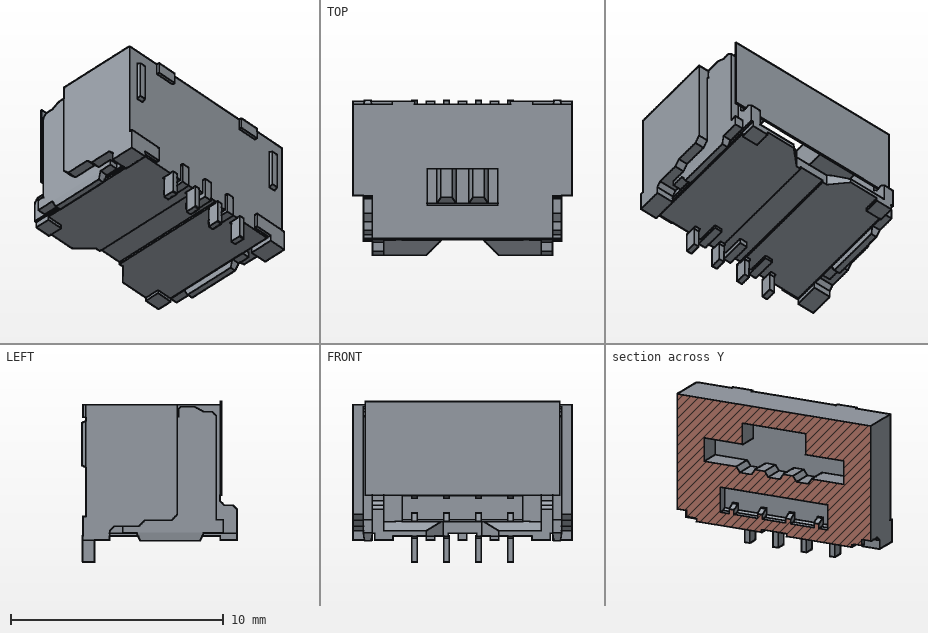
import cadquery as cq


half_width = 5.15
core_half_width = 4.23
shoulder_y = 2.01
rear_y = 6.3
top_z = 6.37
floor_underside_z = 0.32
sole_underside_z = 0.19

wall_low_z = 0.65
wall_step_y = 3.82
wall_step_bevel = 0.28
rear_foot_bevel = 0.22

ledge_y = 6.45
ledge_top_z = 1.11
ledge_inner_x = 3.31
rear_foot_front_y = 5.19
rear_pad_inner_x = 2.25
rear_pad_bottom_z = 5.77
sole_inner_x = 0.66
sole_outer_x = 4.13
front_foot_inner_x = 3.27

lip_y = -0.8
arm_top_z = 1.65
arm_bevel = 0.2
mouth_half_width = 3.7
lip_ramp_start_y = -0.09
lip_ramp_low_z = 0.43
notch_half_width = 0.91

mouth_floor_z = 0.87
mouth_ceiling_z = 4.39
mouth_back_y = 1.65
recess_half_width = 2.84
recess_back_y = 4.74
recess_ceiling_z = 2.08
recess_ramp_rise = 0.09
recess_ramp_run = 0.14
ridge_outer_x = 3.16
ridge_height = 0.03

cavity_back_y = 5.4
cavity_floor_z = 2.99
land_width = 0.9
land_height = 0.27
land_side_run = 0.19
land_front_run = 0.28

channel_half_width = 1.67
channel_roof_z = 5.43
window_front_y = 1.55
window_front_bottom_y = 1.64
window_back_y = 3.27

contact_pitch = 1.5
contact_count = 4
contact_width = 0.28
leg_front_y = 5.9
leg_rear_y = 6.48
leg_tip_z = -1.03
leg_top_z = 0.22
leg_tip_chamfer = 0.03
leg_bend_chamfer = 0.09
lower_arm_length = 0.82
lower_arm_nose_z = 0.9
lower_arm_top_z = 1.29
lower_arm_edge = 0.03
lower_arm_land = 0.07
upper_arm_drop = 0.12
divider_width = 0.4

tab_outer_x = 4.67
tab_front_y = 0.18
tab_rear_y = 4.58
tab_bottom_z = 0.35
tab_toe_y = -0.14
tab_toe_top_z = 0.97
tab_head_y = 1.94
tab_head_bottom_z = 5.79
tab_top_z = 6.26
tab_top_bevel = 0.08
tab_top_front_y = 1.18
tab_nose_z = 6.05
tab_nose_rear_y = 0.78
tab_nose_bevel = 0.21
tab_foot_bottom_z = -0.03
tab_foot_front_y = 0.76
tab_foot_rear_y = 3.93
tab_foot_side_run = 0.06
tab_foot_end_run = 0.18
barb_inner_x = 4.27
barb_outer_x = 4.64
barb_bottom_z = 3.42
barb_top_z = 5.6
barb_tip_y = 6.5
barb_side_run = 0.02
barb_end_run = 0.08

sheet_half_width = 4.57
sheet_thickness = 0.07
sheet_bottom_z = 2.11
sheet_top_z = 6.52

contact_xs = [(i - (contact_count - 1) / 2) * contact_pitch for i in range(contact_count)]


def block(x0, x1, y0, y1, z0, z1):
    """Box between two opposite corners."""
    return cq.Workplane("XY").box(x1 - x0, y1 - y0, z1 - z0, centered=False).translate((x0, y0, z0))


def slice_x(points, x0, x1):
    """Outline of (y, z) points extruded from x0 to x1."""
    return cq.Workplane("YZ").polyline(points).close().extrude(x1 - x0).translate((x0, 0, 0))


def both_sides(shape):
    """The shape together with its mirror image across X = 0."""
    return shape.union(shape.mirror("YZ"))


def tapered(plane, first, second, start, end):
    """Loft between two rectangles (u0, u1, v0, v1) lying at offsets start and end of a plane."""
    wires = []
    for (u0, u1, v0, v1), offset in ((first, start), (second, end)):
        corners = [(u0, v0), (u1, v0), (u1, v1), (u0, v1)]
        wires.append(cq.Workplane(plane).workplane(offset=offset).polyline(corners).close().val())
    return cq.Workplane(cq.Solid.makeLoft(wires, True))


def inset(rectangle, u_run, v_run):
    """The rectangle (u0, u1, v0, v1) shrunk by u_run and v_run on each side."""
    u0, u1, v0, v1 = rectangle
    return (u0 + u_run, u1 - u_run, v0 + v_run, v1 - v_run)


def side_walls():
    wall_high_z = wall_low_z + wall_step_bevel
    outline = [
        (shoulder_y, top_z),
        (rear_y, top_z),
        (rear_y, ledge_top_z),
        (ledge_y, ledge_top_z),
        (ledge_y, 0),
        (rear_foot_front_y, 0),
        (rear_foot_front_y, wall_low_z - rear_foot_bevel),
        (rear_foot_front_y - rear_foot_bevel, wall_low_z),
        (wall_step_y, wall_low_z),
        (wall_step_y - wall_step_bevel, wall_high_z),
        (shoulder_y + wall_step_bevel, wall_high_z),
        (shoulder_y, wall_high_z + wall_step_bevel),
    ]
    return both_sides(slice_x(outline, core_half_width, half_width))


def lip():
    """Two arms with a ramped floor between them."""
    arm_outline = [
        (0, floor_underside_z),
        (0, arm_top_z + arm_bevel),
        (-arm_bevel, arm_top_z),
        (lip_y + arm_bevel, arm_top_z),
        (lip_y, arm_top_z - arm_bevel),
        (lip_y, floor_underside_z),
    ]
    ramp_outline = [
        (0, floor_underside_z),
        (0, mouth_floor_z),
        (lip_ramp_start_y, mouth_floor_z),
        (lip_y, lip_ramp_low_z),
        (lip_y, floor_underside_z),
    ]
    arms = both_sides(slice_x(arm_outline, mouth_half_width, core_half_width))
    return arms.union(slice_x(ramp_outline, -mouth_half_width, mouth_half_width))


def lip_notch():
    """Tool for the 45 degree flared notch through the middle of the lip."""
    outer = notch_half_width - lip_y
    outline = [(-notch_half_width, 0), (notch_half_width, 0), (outer, lip_y), (-outer, lip_y)]
    return cq.Workplane("XY").polyline(outline).close().extrude(top_z)


def underside():
    """Sole plates with a foot under each side of the lip."""
    sole = block(sole_inner_x, sole_outer_x, lip_y, rear_y, sole_underside_z, floor_underside_z)
    foot = block(front_foot_inner_x, sole_outer_x, lip_y, 0, 0, sole_underside_z)
    return both_sides(sole.union(foot))


def rear_details():
    """Ledges and pads on the rear wall, and the dividers between the legs."""
    ledge = block(ledge_inner_x, core_half_width, rear_y, ledge_y, floor_underside_z, ledge_top_z)
    pad = block(rear_pad_inner_x, ledge_inner_x, rear_y, ledge_y, rear_pad_bottom_z, top_z)
    details = both_sides(ledge.union(pad))
    for left, right in zip(contact_xs, contact_xs[1:]):
        x = (left + right) / 2
        divider = block(
            x - divider_width / 2, x + divider_width / 2, rear_foot_front_y, ledge_y, 0, ledge_top_z
        )
        details = details.union(divider)
    return details


def mouth():
    """Mouth opening, plug cavity and contact recess as one tool."""
    opening = block(
        -mouth_half_width, mouth_half_width, 0, mouth_back_y, mouth_floor_z, mouth_ceiling_z
    )
    cavity = block(
        -mouth_half_width, mouth_half_width, mouth_back_y, cavity_back_y, cavity_floor_z, mouth_ceiling_z
    )
    recess_outline = [
        (mouth_back_y, mouth_floor_z),
        (recess_back_y - recess_ramp_run, mouth_floor_z),
        (recess_back_y, mouth_floor_z + recess_ramp_rise),
        (recess_back_y, recess_ceiling_z),
        (mouth_back_y, recess_ceiling_z),
    ]
    recess = slice_x(recess_outline, -recess_half_width, recess_half_width)
    return opening.union(cavity).union(recess)


def mouth_ridges():
    ramp_slope = (mouth_floor_z - lip_ramp_low_z) / (lip_ramp_start_y - lip_y)
    ridge_top_z = mouth_floor_z + ridge_height
    outline = [
        (lip_ramp_start_y, mouth_floor_z),
        (lip_ramp_start_y + ridge_height / ramp_slope, ridge_top_z),
        (mouth_back_y, ridge_top_z),
        (mouth_back_y, mouth_floor_z),
    ]
    return both_sides(slice_x(outline, recess_half_width, ridge_outer_x))


def channel_and_window():
    """Key channel open to the front, and the window whose front wall is drafted."""
    channel = block(
        -channel_half_width, channel_half_width, 0, cavity_back_y, mouth_ceiling_z, channel_roof_z
    )
    outline = [
        (window_front_y, top_z),
        (window_back_y, top_z),
        (window_back_y, channel_roof_z),
        (window_front_bottom_y, channel_roof_z),
    ]
    return channel.union(slice_x(outline, -channel_half_width, channel_half_width))


def land(base_x0, base_x1, top_x0, top_x1):
    """Raised strip on the cavity floor, beveled at its front end."""
    return tapered(
        "XY",
        (base_x0, base_x1, mouth_back_y, cavity_back_y),
        (top_x0, top_x1, mouth_back_y + land_front_run, cavity_back_y),
        cavity_floor_z,
        cavity_floor_z + land_height,
    )


def cavity_lands():
    """A land over each contact; the outer ones reach the cavity side walls."""
    inner_x0 = contact_pitch / 2 - land_width / 2
    inner_x1 = inner_x0 + land_width
    outer_x0 = inner_x0 + contact_pitch
    inner = land(inner_x0, inner_x1, inner_x0 + land_side_run, inner_x1 - land_side_run)
    outer = land(outer_x0, mouth_half_width, outer_x0 + land_side_run, mouth_half_width)
    return both_sides(inner.union(outer))


def contact(x):
    """Bent leg below the housing, and the two arm tips in the recess, at one X."""
    leg = [
        (leg_rear_y, leg_top_z),
        (leg_rear_y, leg_tip_z + leg_tip_chamfer),
        (leg_rear_y - leg_tip_chamfer, leg_tip_z),
        (leg_front_y, leg_tip_z),
        (leg_front_y, sole_underside_z - leg_bend_chamfer),
        (leg_front_y - leg_bend_chamfer, sole_underside_z),
        (leg_front_y - leg_bend_chamfer, leg_top_z),
    ]
    nose_y = recess_back_y - lower_arm_length
    land_y = recess_back_y - lower_arm_land
    lower_arm = [
        (recess_back_y, mouth_floor_z),
        (nose_y, mouth_floor_z),
        (nose_y, lower_arm_nose_z),
        (land_y, lower_arm_top_z - lower_arm_edge),
        (land_y, lower_arm_top_z),
        (recess_back_y, lower_arm_top_z),
    ]
    upper_arm = [
        (recess_back_y, recess_ceiling_z),
        (recess_back_y - recess_ramp_run, recess_ceiling_z),
        (recess_back_y, recess_ceiling_z - upper_arm_drop),
    ]
    x0 = x - contact_width / 2
    x1 = x + contact_width / 2
    return slice_x(leg, x0, x1).union(slice_x(lower_arm, x0, x1)).union(slice_x(upper_arm, x0, x1))


def side_tabs():
    """Tabs in the side recesses, each with a foot below and a barb on the rear wall."""
    outline = [
        (tab_rear_y, tab_bottom_z),
        (tab_rear_y, tab_head_bottom_z),
        (tab_head_y, tab_head_bottom_z),
        (tab_head_y, tab_top_z - tab_top_bevel),
        (tab_head_y - tab_top_bevel, tab_top_z),
        (tab_top_front_y, tab_top_z),
        (tab_nose_rear_y, tab_nose_z),
        (tab_front_y + tab_nose_bevel, tab_nose_z),
        (tab_front_y, tab_nose_z - tab_nose_bevel),
        (tab_front_y, tab_toe_top_z),
        (tab_toe_y, tab_toe_top_z),
        (tab_toe_y, tab_bottom_z),
    ]
    plate = slice_x(outline, core_half_width, tab_outer_x)
    foot_root = (core_half_width, tab_outer_x, tab_foot_front_y, tab_foot_rear_y)
    foot_tip = inset(foot_root, tab_foot_side_run, tab_foot_end_run)
    foot = tapered("XY", foot_tip, foot_root, tab_foot_bottom_z, tab_bottom_z)
    barb_root = (barb_inner_x, barb_outer_x, barb_bottom_z, barb_top_z)
    barb_tip = inset(barb_root, barb_side_run, barb_end_run)
    barb = tapered("XZ", barb_root, barb_tip, -rear_y, -barb_tip_y)
    return both_sides(plate.union(foot).union(barb))


def make_housing():
    body = block(-core_half_width, core_half_width, 0, rear_y, floor_underside_z, top_z)
    body = body.union(side_walls()).union(lip()).union(underside()).cut(lip_notch())
    body = body.union(rear_details()).union(side_tabs())
    body = body.cut(mouth()).union(mouth_ridges())
    body = body.cut(channel_and_window()).union(cavity_lands())
    for x in contact_xs:
        body = body.union(contact(x))
    return body.solids()


def make_sheet():
    return block(
        -sheet_half_width, sheet_half_width, -sheet_thickness, 0, sheet_bottom_z, sheet_top_z
    )


housing = make_housing()
sheet = make_sheet()
result = cq.Compound.makeCompound([housing.val(), sheet.val()])